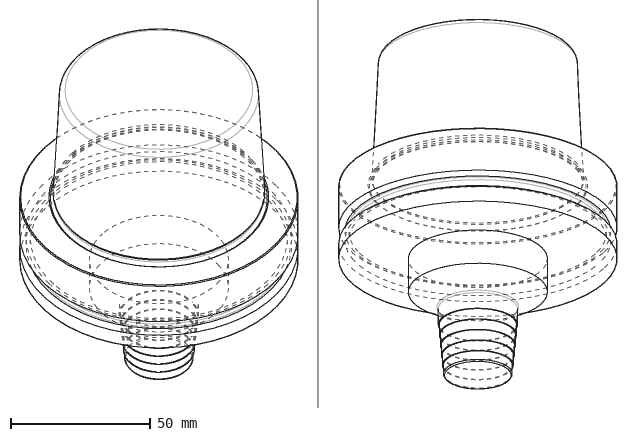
import cadquery as cq
import math

total_height = 124.9
flange_bottom = 46.0
flange_height = 29.0
flange_top = flange_bottom + flange_height

body_top_radius = 35.7
body_base_radius = 38.1
body_base_height = 77.5
body_top_fillet = 2.1

neck_radius = 37.7
neck_top = 76.7
neck_fillet = 1.2
recess_depth = 0.4
recess_outer_radius = 39.5

flange_diameter = 100.0
flange_radius = flange_diameter / 2
flange_chamfer = 0.4
groove_floor_radius = 46.2
groove_upper_edge = 58.2
groove_lower_edge = 51.8
groove_flank_depth = 2.2
groove_fillet = 0.7

shank_radius = 25.0
shank_bottom = 32.8
flank_angle = math.radians(30)

spigot_radius = 14.2
first_step_height = 20.0
ring_step = 0.4
ring_pitch = 4.0
ring_count = 5
tip_chamfer_height = 0.6
tip_chamfer_width = 0.4
shank_fillet = 0.9


def flank_length(radial_depth):
    """Axial length of a flank that spans the given radial depth."""
    return radial_depth * math.tan(flank_angle)


def fillet_corner_rings(solid, radius, height, fillet):
    """Round the circular edge that lies at the given radius and height."""
    margin = 0.01
    reach = radius + margin
    corner = cq.selectors.BoxSelector(
        (-reach, -reach, height - margin), (reach, reach, height + margin), boundingbox=True
    )
    return solid.edges(corner).fillet(fillet)


def spigot_points():
    """Outline of the stepped spigot, from the tip up to the widest step."""
    tip_radius = spigot_radius - ring_count * ring_step
    points = [(tip_radius - tip_chamfer_width, 0), (tip_radius, tip_chamfer_height)]
    for ring in reversed(range(ring_count)):
        step_height = first_step_height - ring * ring_pitch
        inner_radius = spigot_radius - (ring + 1) * ring_step
        points.append((inner_radius, step_height))
        points.append((inner_radius + ring_step, step_height))
    return points


groove_shelf_radius = flange_radius - groove_flank_depth
groove_floor_bottom = groove_lower_edge + flank_length(groove_flank_depth)
groove_floor_top = groove_upper_edge - flank_length(groove_flank_depth)
shank_cone_end = shank_bottom - flank_length(shank_radius - spigot_radius)
recess_floor = flange_top - recess_depth
recess_inner_radius = neck_radius + neck_fillet
fillet_middle = neck_fillet * (1 - math.sqrt(0.5))

outline = cq.Workplane("XZ").moveTo(0, 0)
for point in spigot_points():
    outline = outline.lineTo(*point)
outline = (
    outline.lineTo(spigot_radius, shank_cone_end)
    .lineTo(shank_radius, shank_bottom)
    .lineTo(shank_radius, flange_bottom)
    .lineTo(flange_radius, flange_bottom)
    .lineTo(flange_radius, groove_lower_edge)
    .lineTo(groove_shelf_radius, groove_floor_bottom)
    .lineTo(groove_floor_radius, groove_floor_bottom)
    .lineTo(groove_floor_radius, groove_floor_top)
    .lineTo(groove_shelf_radius, groove_floor_top)
    .lineTo(flange_radius, groove_upper_edge)
    .lineTo(flange_radius, flange_top - flange_chamfer)
    .lineTo(flange_radius - flange_chamfer, flange_top)
    .lineTo(recess_outer_radius, flange_top)
    .lineTo(recess_inner_radius, recess_floor)
    .threePointArc(
        (neck_radius + fillet_middle, recess_floor + fillet_middle),
        (neck_radius, recess_floor + neck_fillet),
    )
    .lineTo(neck_radius, neck_top)
    .lineTo(body_base_radius, body_base_height)
    .lineTo(body_top_radius, total_height)
    .lineTo(0, total_height)
    .close()
)
body = outline.revolve(360, (0, 0, 0), (0, 1, 0))

body = fillet_corner_rings(body, body_top_radius, total_height, body_top_fillet)
body = fillet_corner_rings(body, groove_floor_radius, groove_floor_bottom, groove_fillet)
body = fillet_corner_rings(body, groove_floor_radius, groove_floor_top, groove_fillet)
result = fillet_corner_rings(body, spigot_radius, shank_cone_end, shank_fillet)